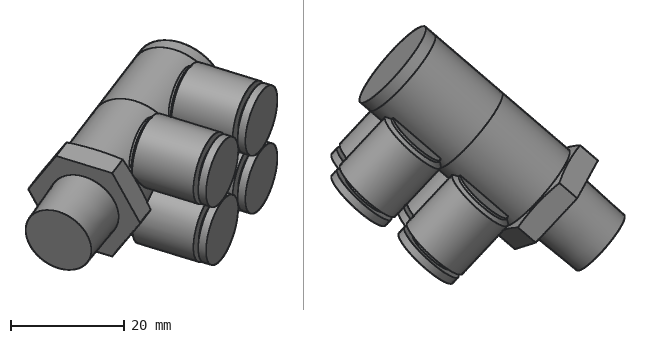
import cadquery as cq

THREAD_TIP_DIAMETER = 12.9
THREAD_ROOT_DIAMETER = 13.5
THREAD_LENGTH = 10.45
HEX_CORNER_DIAMETER = 21.95
HEX_HEIGHT = 4.7
HEX_FACE_DIAMETER = 18.1
HEX_CHAMFER_DROP = 0.5
CORE_DIAMETER = 14.8
BARREL_DIAMETER = 17.6
TOTAL_LENGTH = 49.2
CAP_HEIGHT = 2.25

BRANCH_COUNT = 2
hex_end = THREAD_LENGTH + HEX_HEIGHT
cap_start = TOTAL_LENGTH - CAP_HEIGHT
branch_length = (cap_start - hex_end) / BRANCH_COUNT
PORT_FROM_BRANCH_START = 7.25
PORT_OFFSET_Z = 6.6

PORT_RADIUS = 6.65
DISC_RADIUS = 5.65
NECK_RADIUS = 8.95 / 2
COLLAR_RADIUS = 13.0 / 2
DISC_X = 5.75
CHAMFER_START_X = 6.2
CHAMFER_END_X = 6.85
SLEEVE_END_X = 18.8
COLLAR_START_X = 19.7
COLLAR_END_X = 21.2


def cylinder_y(diameter, start, length):
    """Cylinder on the Y axis, from the start station toward +Y."""
    axis = cq.Vector(0, 1, 0)
    return cq.Workplane(cq.Solid.makeCylinder(diameter / 2, length, cq.Vector(0, start, 0), axis))


def make_thread():
    """Thread envelope widening slightly toward the hexagon."""
    return cq.Workplane(
        cq.Solid.makeCone(
            THREAD_TIP_DIAMETER / 2,
            THREAD_ROOT_DIAMETER / 2,
            THREAD_LENGTH,
            cq.Vector(0, 0, 0),
            cq.Vector(0, 1, 0),
        )
    )


def make_hexagon():
    """Hexagon with corners on the X axis, its +Y corners trimmed by a cone."""
    hexagon = (
        cq.Workplane("XZ", origin=(0, THREAD_LENGTH, 0))
        .polygon(6, HEX_CORNER_DIAMETER)
        .extrude(-HEX_HEIGHT)
    )
    corner_radius = HEX_CORNER_DIAMETER / 2
    trim = (
        cq.Workplane("XY")
        .moveTo(0, THREAD_LENGTH)
        .lineTo(corner_radius, THREAD_LENGTH)
        .lineTo(corner_radius, hex_end - HEX_CHAMFER_DROP)
        .lineTo(HEX_FACE_DIAMETER / 2, hex_end)
        .lineTo(0, hex_end)
        .close()
        .revolve(360, (0, 0), (0, 1))
    )
    return hexagon.intersect(trim)


def make_stem():
    """Threaded stem whose core carries the branches and ends in the cap."""
    core = cylinder_y(CORE_DIAMETER, hex_end, cap_start - hex_end)
    cap = cylinder_y(BARREL_DIAMETER, cap_start, CAP_HEIGHT)
    return make_thread().union(make_hexagon()).union(core).union(cap)


def make_port(center_y, center_z):
    """Port along +X: back disc, chamfered sleeve, neck and release collar."""
    return (
        cq.Workplane("XY", origin=(0, center_y, center_z))
        .moveTo(DISC_X, 0)
        .lineTo(DISC_X, DISC_RADIUS)
        .lineTo(CHAMFER_START_X, DISC_RADIUS)
        .lineTo(CHAMFER_END_X, PORT_RADIUS)
        .lineTo(SLEEVE_END_X, PORT_RADIUS)
        .lineTo(SLEEVE_END_X, NECK_RADIUS)
        .lineTo(COLLAR_START_X, NECK_RADIUS)
        .lineTo(COLLAR_START_X, COLLAR_RADIUS)
        .lineTo(COLLAR_END_X, COLLAR_RADIUS)
        .lineTo(COLLAR_END_X, 0)
        .close()
        .revolve(360, (0, 0), (1, 0))
    )


def make_branch(start_y):
    """Barrel with two ports side by side, bored through for the core."""
    branch = cylinder_y(BARREL_DIAMETER, start_y, branch_length)
    for side in (-1, 1):
        branch = branch.union(make_port(start_y + PORT_FROM_BRANCH_START, side * PORT_OFFSET_Z))
    return branch.cut(cylinder_y(CORE_DIAMETER, start_y, branch_length))


stem = make_stem()
branches = [make_branch(hex_end + index * branch_length) for index in range(BRANCH_COUNT)]

result = cq.Compound.makeCompound([stem.solids().val(), *[branch.solids().val() for branch in branches]])